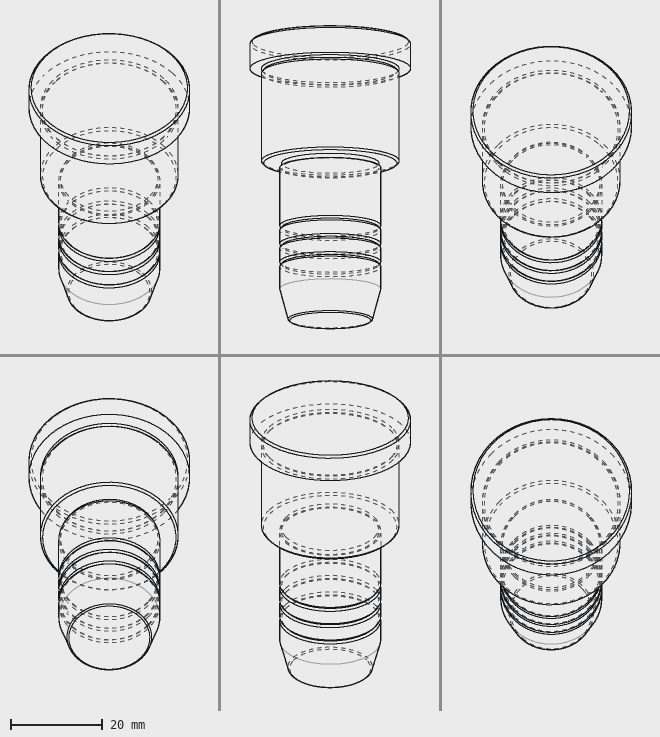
import cadquery as cq
import math

total_height = 62.0
head_height = 6.0
body_bottom = 34.95
undercut_bottom = 34.0
taper_height = 7.0

head_radius = 35.0 / 2
body_radius = 30.0 / 2
shank_radius = 22.0 / 2
taper_angle = 15.0

edge_chamfer = 0.5
tip_chamfer = 0.3
undercut_depth = 0.4
groove_width = 1.0
groove_depth = 0.45
ring_groove_count = 3
ring_groove_pitch = 4.0
lowest_ring_groove = 12.5

head_bottom = total_height - head_height
tip_radius = shank_radius - taper_height * math.tan(math.radians(taper_angle))


def cylinder(radius, bottom, top):
    """Cylinder about the Z axis between two heights."""
    return cq.Workplane("XY").workplane(offset=bottom).circle(radius).extrude(top - bottom)


def v_groove(radius, center_height):
    """Triangular ring that cuts a V groove into a cylinder of the given radius."""
    half_width = groove_width / 2
    return (
        cq.Workplane("XZ")
        .moveTo(radius, center_height - half_width)
        .lineTo(radius - groove_depth, center_height)
        .lineTo(radius, center_height + half_width)
        .close()
        .revolve(360, (0, 0, 0), (0, 1, 0))
    )


head = cylinder(head_radius, head_bottom, total_height).faces(">Z").edges().chamfer(edge_chamfer)

body = cylinder(body_radius, body_bottom, head_bottom).faces("<Z").edges().chamfer(edge_chamfer)
body = body.cut(v_groove(body_radius, head_bottom - groove_width / 2))

undercut = cylinder(shank_radius - undercut_depth, undercut_bottom, body_bottom)

shank = cylinder(shank_radius, taper_height, undercut_bottom)
for index in range(ring_groove_count):
    shank = shank.cut(v_groove(shank_radius, lowest_ring_groove + index * ring_groove_pitch))

tip = (
    cq.Workplane("XZ")
    .lineTo(tip_radius, 0)
    .lineTo(shank_radius, taper_height)
    .lineTo(0, taper_height)
    .close()
    .revolve(360, (0, 0, 0), (0, 1, 0))
    .faces("<Z")
    .edges()
    .chamfer(tip_chamfer)
)

result = head.union(body).union(undercut).union(shank).union(tip)